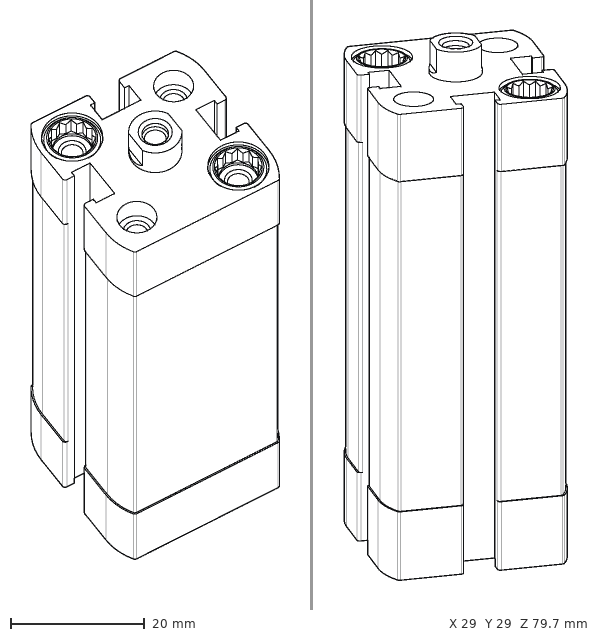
import cadquery as cq
import math

width = 29.0
total_height = 79.7
housing_height = 74.9
top_cap_height = 10.8
bottom_cap_height = 11.0
tube_inset = 0.2
tube_height = housing_height - top_cap_height - bottom_cap_height
top_cap_bottom = housing_height - top_cap_height

corner_radius = 9.8
hole_offset = 9.0
edge_round = 0.5

slot_mouth = 5.3
slot_inner = 6.85
slot_lip = 1.8
slot_depth = 5.1
slot_angles = (90, 180, 270)

bolt_hole_dia = 3.3
bolt_chamfer_dia = 4.15
counterbore_dia = 6.0
counterbore_depth = 3.5

recess_dia = 9.2
recess_depth = 0.7
ring_dia = 8.5
ring_top_dia = 7.65
ring_sink = 0.15
socket_points = 12
socket_valley_dia = 7.0
socket_ridge_dia = 6.3
lead_in_dia = 7.2
lead_in_depth = 0.6
socket_depth = 3.0

rod_dia = 8.0
flat_width = 7.0
flat_length = 3.75
rod_thread_dia = 4.0
rod_thread_depth = 1.3
rod_core_dia = 3.3
rod_core_depth = 8.0
rod_chamfer_dia = 5.1
rod_chamfer_depth = 0.5
drill_point_angle = 118.0


def corner_arc(side):
    """Radius and centre height of a corner arc, and the height where it meets the side face."""
    half = side / 2
    radius = corner_radius - (width - side) / 2
    centre_y = half - radius
    end_y = centre_y + math.sqrt(radius**2 - (half - hole_offset) ** 2)
    return radius, centre_y, end_y


def plain_section(side, height):
    """Square block with its corners cut by large arcs tangent to the -Y and +Y faces."""
    half = side / 2
    radius, centre_y, end_y = corner_arc(side)
    start_angle = math.atan2(end_y - centre_y, half - hole_offset)
    mid_angle = (start_angle + math.pi / 2) / 2
    mid_x = hole_offset + radius * math.cos(mid_angle)
    mid_y = centre_y + radius * math.sin(mid_angle)
    return (
        cq.Workplane("XY")
        .moveTo(half, -end_y)
        .lineTo(half, end_y)
        .threePointArc((mid_x, mid_y), (hole_offset, half))
        .lineTo(-hole_offset, half)
        .threePointArc((-mid_x, mid_y), (-half, end_y))
        .lineTo(-half, -end_y)
        .threePointArc((-mid_x, -mid_y), (-hole_offset, -half))
        .lineTo(hole_offset, -half)
        .threePointArc((mid_x, -mid_y), (half, -end_y))
        .close()
        .extrude(height)
    )


def slot_cutter():
    """T-slot that opens towards +X, along the whole housing."""
    floor_x = width / 2 - slot_depth
    from_floor = (False, True, False)
    mouth = cq.Workplane("XY", origin=(floor_x, 0, 0)).box(
        slot_depth, slot_mouth, housing_height, centered=from_floor
    )
    undercut = cq.Workplane("XY", origin=(floor_x, 0, 0)).box(
        slot_depth - slot_lip, slot_inner, housing_height, centered=from_floor
    )
    return mouth.union(undercut)


def housing_section(side, bottom, height):
    """Slotted length of the housing with its sharp outer edges rounded."""
    section = plain_section(side, height)
    for angle in slot_angles:
        section = section.cut(slot_cutter().rotate((0, 0, 0), (0, 0, 1), angle))

    half = side / 2
    half_mouth = slot_mouth / 2
    end_y = corner_arc(side)[2]
    sharp_edges = [(-half, -half_mouth), (-half, half_mouth)]
    for x_sign in (-1, 1):
        for y_sign in (-1, 1):
            sharp_edges.append((x_sign * half, y_sign * end_y))
            sharp_edges.append((x_sign * half_mouth, y_sign * half))
    for x, y in sharp_edges:
        nearest = cq.NearestToPointSelector((x, y, height / 2))
        section = section.edges("|Z").edges(nearest).fillet(edge_round)
    return section.translate((0, 0, bottom))


def turned(profile):
    """Solid of revolution about Z from (radius, z) points."""
    return cq.Workplane("XZ").polyline(profile).close().revolve(360, (0, 0, 0), (0, 1, 0))


def bolt_hole():
    """Through hole with a chamfered start at the floor of its counterbore."""
    floor_z = housing_height - counterbore_depth
    hole_r = bolt_hole_dia / 2
    chamfer_r = bolt_chamfer_dia / 2
    counterbore_r = counterbore_dia / 2
    return turned([
        (0, 0),
        (hole_r, 0),
        (hole_r, floor_z - (chamfer_r - hole_r)),
        (chamfer_r, floor_z),
        (counterbore_r, floor_z),
        (counterbore_r, housing_height),
        (0, housing_height),
    ])


def socket():
    """Cutter for a twelve-point socket whose bevelled rim is sunk in a round recess."""
    star = []
    for index in range(2 * socket_points):
        angle = math.pi * index / socket_points
        radius = (socket_valley_dia if index % 2 == 0 else socket_ridge_dia) / 2
        star.append((radius * math.cos(angle), radius * math.sin(angle)))
    serrations = (
        cq.Workplane("XY", origin=(0, 0, housing_height - socket_depth))
        .polyline(star)
        .close()
        .extrude(socket_depth)
    )

    ring_top = housing_height - ring_sink
    recess_floor = housing_height - recess_depth
    lead_in_bottom = ring_top - lead_in_depth
    rim = turned([
        (0, lead_in_bottom),
        (socket_ridge_dia / 2, lead_in_bottom),
        (lead_in_dia / 2, ring_top),
        (ring_top_dia / 2, ring_top),
        (ring_dia / 2, recess_floor),
        (recess_dia / 2, recess_floor),
        (recess_dia / 2, housing_height),
        (0, housing_height),
    ])
    return serrations.union(rim)


def rod_blank():
    """Full cylinder of the rod, also used to cut its seat in the housing."""
    return (
        cq.Workplane("XY", origin=(0, 0, top_cap_bottom))
        .circle(rod_dia / 2)
        .extrude(total_height - top_cap_bottom)
    )


def make_housing():
    tube_width = width - 2 * tube_inset
    housing = housing_section(width, 0, bottom_cap_height)
    housing = housing.union(housing_section(tube_width, bottom_cap_height, tube_height))
    housing = housing.union(housing_section(width, top_cap_bottom, top_cap_height))
    for x in (-hole_offset, hole_offset):
        for y in (-hole_offset, hole_offset):
            housing = housing.cut(bolt_hole().translate((x, y, 0)))
    for offset in (-hole_offset, hole_offset):
        housing = housing.cut(socket().translate((offset, offset, 0)))
    return housing.cut(rod_blank())


def wrench_flat():
    """Cutter for the +Y flat of the rod, running out at 45 degrees."""
    flat_y = flat_width / 2
    rod_y = rod_dia / 2
    flat_end = total_height - flat_length
    return (
        cq.Workplane("YZ")
        .moveTo(flat_y, total_height)
        .lineTo(flat_y, flat_end)
        .lineTo(rod_y, flat_end - (rod_y - flat_y))
        .lineTo(rod_y, total_height)
        .close()
        .extrude(rod_dia / 2, both=True)
    )


def rod_hole():
    """Blind threaded hole in the rod end, with a chamfer and a drill point."""
    core_r = rod_core_dia / 2
    thread_r = rod_thread_dia / 2
    thread_end = total_height - rod_thread_depth
    core_end = total_height - rod_core_depth
    point_length = core_r / math.tan(math.radians(drill_point_angle / 2))
    return turned([
        (0, total_height),
        (rod_chamfer_dia / 2, total_height),
        (thread_r, total_height - rod_chamfer_depth),
        (thread_r, thread_end),
        (core_r, thread_end - (thread_r - core_r)),
        (core_r, core_end),
        (0, core_end - point_length),
    ])


def make_rod():
    rod = rod_blank().cut(rod_hole())
    for angle in (0, 180):
        rod = rod.cut(wrench_flat().rotate((0, 0, 0), (0, 0, 1), angle))
    return rod


housing = make_housing()
rod = make_rod()

result = cq.Compound.makeCompound([housing.val(), rod.val()])